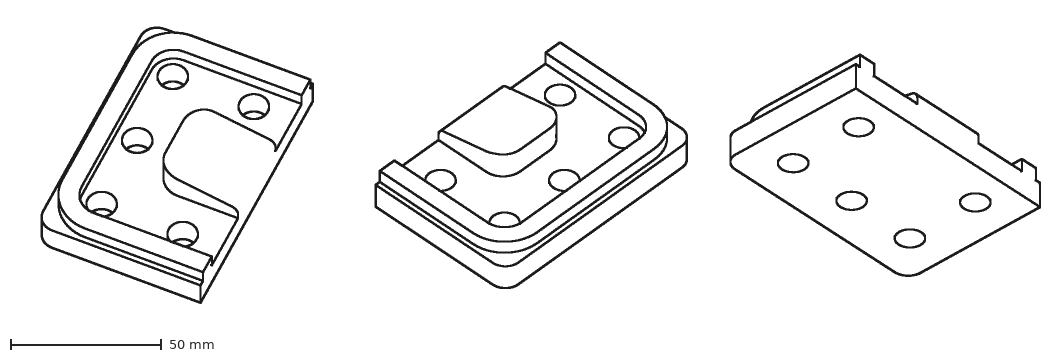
import cadquery as cq
import math

length = 60.0
width = 90.0
base_height = 10.0
base_corner_radius = 6.0

rim_inset = 2.0
rim_thickness = 7.0
rim_height = 5.0
rim_outer_radius = 15.0
rim_inner_radius = rim_outer_radius - rim_thickness

block_length = 30.0
block_width = 30.0
block_height = 10.0
block_corner_radius = 8.0
block_flat_length = 4.8
ramp_angle = 11.3
block_tip_radius = 3.0

hole_diameter = 10.11
near_hole_x = 16.5
far_hole_x = 46.0
hole_row_offset = 28.5


def rounded_slab(start_x, slab_width, corner_radius, bottom, height):
    """Slab ending flush at the open end, with its two -X corners rounded."""
    slab_length = length - start_x
    return (
        cq.Workplane("XY")
        .box(slab_length, slab_width, height, centered=(False, True, False))
        .translate((start_x, 0, bottom))
        .edges("|Z and <X")
        .fillet(corner_radius)
    )


def make_rim():
    outer_width = width - 2 * rim_inset
    inner_width = outer_width - 2 * rim_thickness
    outer = rounded_slab(rim_inset, outer_width, rim_outer_radius, base_height, rim_height)
    inner = rounded_slab(
        rim_inset + rim_thickness, inner_width, rim_inner_radius, base_height, rim_height
    )
    return outer.cut(inner)


def make_block():
    start_x = length - block_length
    ramp_x = start_x + block_flat_length
    top = base_height + block_height
    ramp_drop = (length - ramp_x) * math.tan(math.radians(ramp_angle))
    profile = (
        cq.Workplane("XZ")
        .moveTo(start_x, base_height)
        .lineTo(start_x, top)
        .lineTo(ramp_x, top)
        .lineTo(length, top - ramp_drop)
        .lineTo(length, base_height)
        .close()
        .extrude(block_width / 2, both=True)
    )
    rounded_tip = profile.faces(">X").edges(">Z").fillet(block_tip_radius)
    return rounded_tip.edges("|Z and <X").fillet(block_corner_radius)


def make_holes():
    centres = [(near_hole_x, 0)]
    for x in (near_hole_x, far_hole_x):
        for side in (-1, 1):
            centres.append((x, side * hole_row_offset))
    return cq.Workplane("XY").pushPoints(centres).circle(hole_diameter / 2).extrude(base_height)


base = rounded_slab(0, width, base_corner_radius, 0, base_height)
result = base.cut(make_holes()).union(make_rim()).union(make_block())